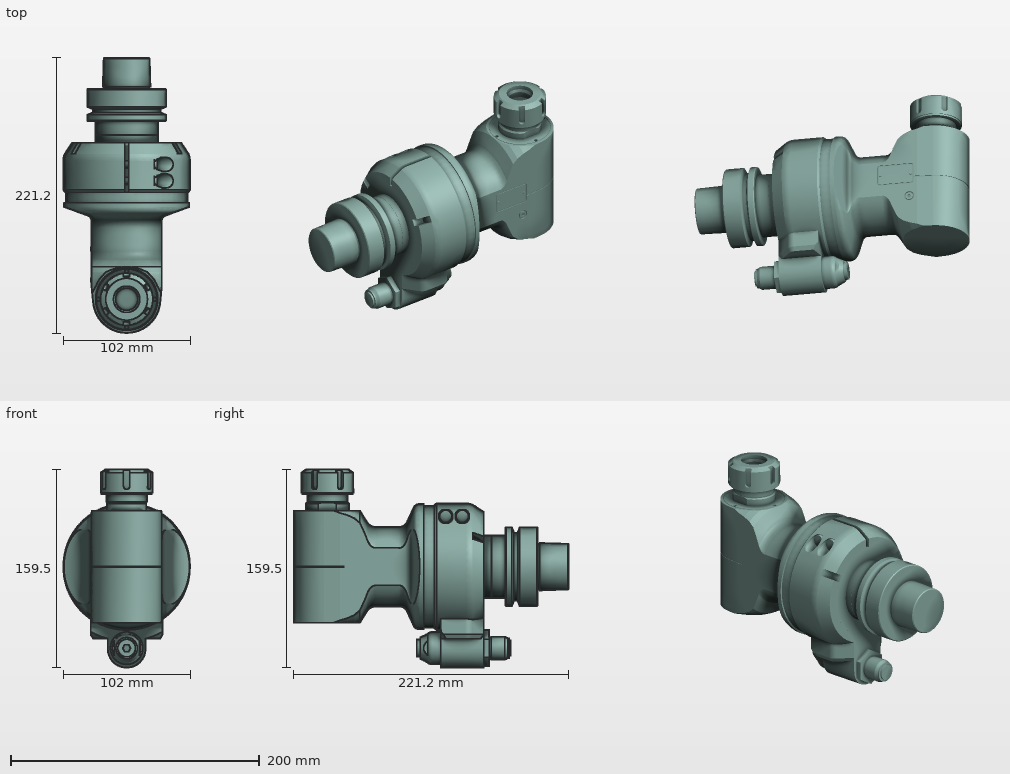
import cadquery as cq
import math


RING_BACK = 125.8
RING_FRONT = 86.0
SPIGOT_R = 36.5
BLOCK_HALF_HEIGHT = 45.0

SHANK_END = 194.0
TAPER_END_R = 18.5
TAPER_BASE_R = 19.2
TAPER_CHAMFER = 0.7
RELIEF_BACK = 170.7
RELIEF_R = 18.4
FLANGE_BACK = 169.0
FLANGE_FRONT = 143.0
FLANGE_R = 31.8
FLANGE_CHAMFER = 0.7
GRIP_GROOVE_BACK = 154.5
GRIP_GROOVE_FRONT = 148.1
GRIP_GROOVE_R = 27.5
GRIP_GROOVE_SLOPE = 1.8
NECK_R = 25.2
NECK_GROOVE_Y = 131.5
NECK_GROOVE_WIDTH = 0.5
NECK_GROOVE_DEPTH = 0.2

SHOULDER_R = 49.0
RIM_BACK = 77.5
RIM_FRONT = 74.0
RIM_R = 50.5
RIM_ROUND_END = (47.3, 69.2)
REAR_CONE_END = (35.8, 64.0)
WAIST_BACK = 57.3
WAIST_FRONT = 38.5
WAIST_R = 32.0
FRONT_CONE_START = (35.2, 32.3)
FRONT_CONE_END_Y = 26.0
CROWN_POINTS = ((48.0, 21.9), (50.2, 16.0), (51.5, 10.2), (53.3, 3.8))
SIDE_X = 28.3
SIDE_TAPER_Y = 10.2
NOSE_R = 27.2
RELIEF_SLANT_FOOT_Y = 66.0
RELIEF_SLANT_ANGLE = 20
RELIEF_FILLET = 4.2
CLEARANCE = 55.3

SPLIT_GROOVE = 0.9
SPLIT_GROOVE_DEPTH = 0.5
PLATE_LENGTH = 29.6
PLATE_HEIGHT = 18.0
PLATE_CENTER = (27.9, 3.3)
PLATE_CORNER_R = 2.2
PLATE_GROOVE = 0.9
PLATE_GROOVE_DEPTH = 0.5
PLATE_SCREW_SPACING = 25.0
PLATE_SCREW_D = 2.7
PLATE_SCREW_HEIGHT = 0.7
PLUG_CENTER = (16.5, -17.2)
PLUG_HOLE_D = 8.0
PLUG_D = 6.0
PLUG_DEPTH = 0.9
PLUG_SOCKET_D = 3.0

COVER_R = 25.0
COVER_GROOVE = 0.7
COVER_GROOVE_DEPTH = 0.5
COVER_HOLE_D = 3.0
COVER_HOLE_RADIUS = 22.5
COVER_HOLE_DEPTH = 2.2

RING_D = 102.0
RING_R = RING_D / 2
RING_BACK_R = 43.8
RING_CONE_END = (49.7, 116.7)
RING_ROUND_MIDDLE = (50.6, 114.0)
RING_ROUND_END_Y = 111.0
RING_CHAMFER_Y = 87.8
RING_FRONT_R = 49.5
SLIT = 3.3
SCREW_YS = (108.3, 95)
SCREW_Z = 40.5
SCREW_POCKET_D = 11.5
SCREW_POCKET_X = 22.3
SCREW_HEAD_D = 10.0
SCREW_HEAD_HEIGHT = 2.2
SCREW_D = 6.0
NOTCH_WIDTH = 5.7
NOTCH_ANGLES = (30, 150)

ARM_FRONT = 91.0
ARM_HALF_WIDTH = 29.0
ARM_REAR_CORNER_Y = 114.0
ARM_ROUND_R = 7.0
ARM_BOTTOM = -57.7
ARM_TOP = -31
ARM_CHAMFER_HEIGHT = 3.3
ARM_CHAMFER_WIDTH = 2.0
ARM_FRONT_BEVEL_R = 59.7
ARM_BEVEL = 4.5
BOSS_R = 15.3
BOSS_Z = -65.9
PIN_Z = -65.5

PIN_BACK_OUTLINE = (
    (8.8, RING_BACK), (8.8, 131.5), (9.3, 131.5), (9.3, 142.5),
    (8.0, 145.0), (8.0, 146.1), (6.2, 146.1), (6.2, 147.5),
)
PIN_NUT_CORNER_R = 14.5
PIN_NUT_THICKNESS = 4.2
PIN_NUT_TURN = 30
PIN_R = 13.0
PIN_SHOULDER_Y = 84
PIN_ROUND_END = (11.5, 80.5)
PIN_CONE_END = (8.6, 74.5)
PIN_TIP_R = 7.0
PIN_TIP_Y = 71.6
PIN_FLAT_X = 10.0
PIN_SOCKET_D = 6.5
PIN_SOCKET_DEPTH = 2.2

COLLAR_R = 17.5
COLLAR_TOP = 51.5
COLLAR_CHAMFER = 0.9
COLLAR_FLAT_X = 16.0
STEM_R = 16.4
STEM_GROOVE = 0.7
STEM_GROOVE_DEPTH = 0.7
NUT_BOTTOM = 58.1
NUT_TOP = 78.3
NUT_R = 21.0
NUT_LIP_R = 20.3
NUT_LIP_HEIGHT = 1.3
NUT_TOP_R = 16.8
NUT_CHAMFER_HEIGHT = 2.7
NUT_SLOT_COUNT = 6
NUT_SLOT_WIDTH = 5.0
NUT_SLOT_FLOOR_R = 18.0
NUT_SLOT_BOTTOM = 62.1
BORE_MOUTH_R = 10.6
BORE_D = 18.0
BORE_R = BORE_D / 2
BORE_MOUTH_DEPTH = 3.3
BORE_CONE_DEPTH = 5.0
BORE_DEPTH = 10.0


def turned_about_y(outline):
    """Revolve a closed (x, y) outline about the Y axis."""
    return outline.close().revolve(360, (0, 0, 0), (0, 1, 0))


def disc_y(radius, y_start, y_end, z=0):
    """Cylinder along Y between two stations."""
    return cq.Workplane("XZ", origin=(0, y_start, z)).circle(radius).extrude(y_start - y_end)


def disc_x(diameter, x_start, x_end, y, z):
    """Cylinder along X between two stations."""
    return cq.Workplane("YZ", origin=(x_start, y, z)).circle(diameter / 2).extrude(x_end - x_start)


def tube_z(outer_r, inner_r, z_bottom, height):
    """Upright tube centred on the Z axis."""
    return cq.Workplane("XY", origin=(0, 0, z_bottom)).circle(outer_r).circle(inner_r).extrude(height)


def block(x_range, y_range, z_range):
    """Axis-aligned box between pairs of limits."""
    sizes = [high - low for low, high in (x_range, y_range, z_range)]
    corner = (x_range[0], y_range[0], z_range[0])
    return cq.Workplane("XY").box(*sizes, centered=False).translate(corner)


def make_shank():
    outline = (
        cq.Workplane("XY")
        .moveTo(0, SHANK_END)
        .lineTo(TAPER_END_R - TAPER_CHAMFER, SHANK_END)
        .lineTo(TAPER_END_R, SHANK_END - TAPER_CHAMFER)
        .lineTo(TAPER_BASE_R, RELIEF_BACK)
        .lineTo(RELIEF_R, RELIEF_BACK)
        .lineTo(RELIEF_R, FLANGE_BACK)
        .lineTo(FLANGE_R - FLANGE_CHAMFER, FLANGE_BACK)
        .lineTo(FLANGE_R, FLANGE_BACK - FLANGE_CHAMFER)
        .lineTo(FLANGE_R, GRIP_GROOVE_BACK)
        .lineTo(GRIP_GROOVE_R, GRIP_GROOVE_BACK - GRIP_GROOVE_SLOPE)
        .lineTo(GRIP_GROOVE_R, GRIP_GROOVE_FRONT + GRIP_GROOVE_SLOPE)
        .lineTo(FLANGE_R, GRIP_GROOVE_FRONT)
        .lineTo(FLANGE_R, FLANGE_FRONT + FLANGE_CHAMFER)
        .lineTo(FLANGE_R - FLANGE_CHAMFER, FLANGE_FRONT)
        .lineTo(NECK_R, FLANGE_FRONT)
        .lineTo(NECK_R, RING_BACK)
        .lineTo(0, RING_BACK)
    )
    groove = disc_y(NECK_R, NECK_GROOVE_Y, NECK_GROOVE_Y + NECK_GROOVE_WIDTH).cut(
        disc_y(NECK_R - NECK_GROOVE_DEPTH, NECK_GROOVE_Y, NECK_GROOVE_Y + NECK_GROOVE_WIDTH)
    )
    return turned_about_y(outline).cut(groove)


def housing_turning():
    """Turned form of the housing, before the flats are cut."""
    outline = (
        cq.Workplane("XY")
        .moveTo(0, RING_BACK)
        .lineTo(SPIGOT_R, RING_BACK)
        .lineTo(SPIGOT_R, RING_FRONT)
        .lineTo(SHOULDER_R, RING_FRONT)
        .lineTo(SHOULDER_R, RIM_BACK)
        .lineTo(RIM_R, RIM_BACK)
        .lineTo(RIM_R, RIM_FRONT)
        .tangentArcPoint(RIM_ROUND_END, relative=False)
        .lineTo(*REAR_CONE_END)
        .tangentArcPoint((WAIST_R, WAIST_BACK), relative=False)
        .lineTo(WAIST_R, WAIST_FRONT)
        .tangentArcPoint(FRONT_CONE_START, relative=False)
        .lineTo(BLOCK_HALF_HEIGHT, FRONT_CONE_END_Y)
    )
    for point in CROWN_POINTS:
        outline = outline.lineTo(*point)
    outline = outline.lineTo(CROWN_POINTS[-1][0], -NOSE_R).lineTo(0, -NOSE_R)
    return turned_about_y(outline)


def housing_plan():
    """Plan outline of the housing: round nose, flat sides and slanted reliefs."""
    reach = math.hypot(SIDE_X, SIDE_TAPER_Y)
    tangent_angle = math.atan2(SIDE_TAPER_Y, SIDE_X) - math.acos(NOSE_R / reach)
    nose_x = NOSE_R * math.cos(tangent_angle)
    nose_y = NOSE_R * math.sin(tangent_angle)
    slant_rise = (CLEARANCE - SIDE_X) * math.tan(math.radians(RELIEF_SLANT_ANGLE))
    slant_top = RELIEF_SLANT_FOOT_Y + slant_rise
    return (
        cq.Workplane("XY", origin=(0, 0, -CLEARANCE))
        .moveTo(-nose_x, nose_y)
        .threePointArc((0, -NOSE_R), (nose_x, nose_y))
        .lineTo(SIDE_X, SIDE_TAPER_Y)
        .lineTo(SIDE_X, RELIEF_SLANT_FOOT_Y)
        .lineTo(CLEARANCE, slant_top)
        .lineTo(CLEARANCE, RING_BACK)
        .lineTo(-CLEARANCE, RING_BACK)
        .lineTo(-CLEARANCE, slant_top)
        .lineTo(-SIDE_X, RELIEF_SLANT_FOOT_Y)
        .lineTo(-SIDE_X, SIDE_TAPER_Y)
        .close()
    )


def housing_envelope():
    """Upright prism over the plan outline, with the foot of each slanted relief rounded."""
    prism = housing_plan().extrude(2 * CLEARANCE)
    for x in (-SIDE_X, SIDE_X):
        corner = cq.selectors.NearestToPointSelector((x, RELIEF_SLANT_FOOT_Y, 0))
        prism = prism.edges("|Z").edges(corner).fillet(RELIEF_FILLET)
    return prism


def add_name_plate(body):
    """Name plate outlined by a groove on the -X side, with two raised screw heads."""
    plate_y, plate_z = PLATE_CENTER

    def plate_slab(margin):
        return (
            cq.Workplane("XY")
            .box(2 * PLATE_GROOVE_DEPTH, PLATE_LENGTH - 2 * margin, PLATE_HEIGHT - 2 * margin)
            .edges("|X")
            .fillet(PLATE_CORNER_R - margin)
            .translate((-SIDE_X, plate_y, plate_z))
        )

    body = body.cut(plate_slab(0).cut(plate_slab(PLATE_GROOVE)))
    for side in (-1, 1):
        screw_y = plate_y + side * PLATE_SCREW_SPACING / 2
        head_x = -SIDE_X - PLATE_SCREW_HEIGHT
        body = body.union(disc_x(PLATE_SCREW_D, head_x, 2.2 - SIDE_X, screw_y, plate_z))
    return body


def cut_plug(body):
    """Recessed socket plug on the -X side."""
    floor_x = PLUG_DEPTH - SIDE_X
    recess = disc_x(PLUG_HOLE_D, -SIDE_X, floor_x, *PLUG_CENTER)
    plug = disc_x(PLUG_D, -SIDE_X, floor_x, *PLUG_CENTER)
    socket = disc_x(PLUG_SOCKET_D, -SIDE_X, floor_x, *PLUG_CENTER)
    return body.cut(recess.cut(plug)).cut(socket)


def cut_split_groove(body):
    """Shallow groove at mid-height around the nose."""
    groove_end = PLATE_CENTER[0] - PLATE_LENGTH / 2
    half = SPLIT_GROOVE / 2
    front_zone = block((-CLEARANCE, CLEARANCE), (-CLEARANCE, groove_end), (-half, half))
    core = housing_plan().offset2D(-SPLIT_GROOVE_DEPTH).extrude(2 * CLEARANCE)
    return body.cut(front_zone.cut(core))


def cut_cover(body):
    """Bearing cover on the upper face: a round seam and four screw holes."""
    seam = tube_z(
        COVER_R, COVER_R - COVER_GROOVE, BLOCK_HALF_HEIGHT - COVER_GROOVE_DEPTH, COVER_GROOVE_DEPTH
    )
    holes = (
        cq.Workplane("XY", origin=(0, 0, BLOCK_HALF_HEIGHT))
        .polarArray(COVER_HOLE_RADIUS, 0, 360, 4)
        .circle(COVER_HOLE_D / 2)
        .extrude(-COVER_HOLE_DEPTH)
    )
    return body.cut(seam).cut(holes)


def make_housing():
    body = housing_turning().intersect(housing_envelope())
    span = (-CLEARANCE, CLEARANCE)
    block_length = (-CLEARANCE, WAIST_FRONT)
    body = body.cut(block(span, block_length, (BLOCK_HALF_HEIGHT, CLEARANCE)))
    body = body.cut(block(span, block_length, (-CLEARANCE, -BLOCK_HALF_HEIGHT)))
    body = cut_split_groove(body)
    body = add_name_plate(body)
    body = cut_plug(body)
    return cut_cover(body)


def ring_turning():
    outline = (
        cq.Workplane("XY")
        .moveTo(0, RING_BACK)
        .lineTo(RING_BACK_R, RING_BACK)
        .lineTo(*RING_CONE_END)
        .threePointArc(RING_ROUND_MIDDLE, (RING_R, RING_ROUND_END_Y))
        .lineTo(RING_R, RING_CHAMFER_Y)
        .lineTo(RING_FRONT_R, RING_FRONT)
        .lineTo(0, RING_FRONT)
    )
    return turned_about_y(outline)


def ring_arm():
    """Block under the ring and the rounded boss that holds the stop pin."""
    arm = (
        cq.Workplane("XY", origin=(0, 0, ARM_BOTTOM))
        .moveTo(-ARM_HALF_WIDTH, ARM_FRONT)
        .lineTo(ARM_HALF_WIDTH, ARM_FRONT)
        .lineTo(ARM_HALF_WIDTH, ARM_REAR_CORNER_Y)
        .lineTo(BOSS_R, RING_BACK)
        .lineTo(-BOSS_R, RING_BACK)
        .lineTo(-ARM_HALF_WIDTH, ARM_REAR_CORNER_Y)
        .close()
        .extrude(ARM_TOP - ARM_BOTTOM)
    )
    for x in (-ARM_HALF_WIDTH, ARM_HALF_WIDTH):
        corner = cq.selectors.NearestToPointSelector((x, ARM_REAR_CORNER_Y, (ARM_BOTTOM + ARM_TOP) / 2))
        arm = arm.edges("|Z").edges(corner).fillet(ARM_ROUND_R)
    bottom_sides = cq.selectors.BoxSelector(
        (-CLEARANCE, ARM_FRONT - 2.2, ARM_BOTTOM - 2.2),
        (CLEARANCE, ARM_REAR_CORNER_Y, ARM_BOTTOM + 2.2),
    )
    arm = arm.edges("|Y").edges(bottom_sides).chamfer(ARM_CHAMFER_WIDTH, ARM_CHAMFER_HEIGHT)
    bevel_back_r = ARM_FRONT_BEVEL_R + ARM_BEVEL
    bevel_limit = turned_about_y(
        cq.Workplane("XY")
        .moveTo(0, ARM_FRONT)
        .lineTo(ARM_FRONT_BEVEL_R, ARM_FRONT)
        .lineTo(bevel_back_r, ARM_FRONT + ARM_BEVEL)
        .lineTo(bevel_back_r, RING_BACK)
        .lineTo(0, RING_BACK)
    )
    arm = arm.intersect(bevel_limit)
    boss = disc_y(BOSS_R, ARM_FRONT, RING_BACK, BOSS_Z)
    web = block((-BOSS_R, BOSS_R), (ARM_FRONT, RING_BACK), (BOSS_Z, ARM_TOP))
    return arm.union(web).union(boss)


def cone_notches():
    """Radial slots through the conical rear wall of the ring."""
    half = NOTCH_WIDTH / 2
    bar = block((0, CLEARANCE), (RING_CONE_END[1], RING_BACK), (-half, half))
    return [bar.rotate((0, 0, 0), (0, 1, 0), -angle) for angle in NOTCH_ANGLES]


def clamp_slit(ring):
    """Slit at the top of the ring, drawn together by two screws from the +X side."""
    half = SLIT / 2
    ring = ring.cut(block((-half, half), (RING_FRONT, RING_BACK), (0, CLEARANCE)))
    for y in SCREW_YS:
        head_end = SCREW_POCKET_X + SCREW_HEAD_HEIGHT
        ring = ring.cut(disc_x(SCREW_POCKET_D, SCREW_POCKET_X, CLEARANCE, y, SCREW_Z))
        ring = ring.union(disc_x(SCREW_HEAD_D, SCREW_POCKET_X, head_end, y, SCREW_Z))
        ring = ring.union(disc_x(SCREW_D, -SLIT, SLIT, y, SCREW_Z))
    return ring


def stop_pin():
    """Spring-loaded stop pin, with its lock nut, on both sides of the boss."""
    back = cq.Workplane("XY").moveTo(0, RING_BACK)
    for point in PIN_BACK_OUTLINE:
        back = back.lineTo(*point)
    back = turned_about_y(back.lineTo(0, PIN_BACK_OUTLINE[-1][1]))

    nut = (
        cq.Workplane("XZ", origin=(0, RING_BACK, 0))
        .polygon(6, 2 * PIN_NUT_CORNER_R)
        .extrude(-PIN_NUT_THICKNESS)
        .rotate((0, 0, 0), (0, 1, 0), PIN_NUT_TURN)
    )
    front = turned_about_y(
        cq.Workplane("XY")
        .moveTo(0, ARM_FRONT)
        .lineTo(PIN_R, ARM_FRONT)
        .lineTo(PIN_R, PIN_SHOULDER_Y)
        .tangentArcPoint(PIN_ROUND_END, relative=False)
        .lineTo(*PIN_CONE_END)
        .lineTo(PIN_TIP_R, PIN_CONE_END[1])
        .lineTo(PIN_TIP_R, PIN_TIP_Y)
        .lineTo(0, PIN_TIP_Y)
    )
    nose_length = (PIN_TIP_Y, PIN_ROUND_END[1])
    for x_range in ((-PIN_R, -PIN_FLAT_X), (PIN_FLAT_X, PIN_R)):
        front = front.cut(block(x_range, nose_length, (-PIN_R, PIN_R)))
    socket = (
        cq.Workplane("XZ", origin=(0, PIN_TIP_Y, 0)).polygon(6, PIN_SOCKET_D).extrude(-PIN_SOCKET_DEPTH)
    )
    return [part.translate((0, 0, PIN_Z)) for part in (back, nut, front.cut(socket))]


def make_stop_ring():
    ring = ring_turning().union(ring_arm())
    ring = ring.cut(disc_y(SPIGOT_R, RING_FRONT, RING_BACK))
    for notch in cone_notches():
        ring = ring.cut(notch)
    ring = clamp_slit(ring)
    for part in stop_pin():
        ring = ring.union(part)
    return ring


def nut_slot():
    """Radial spanner slot with a rounded lower end, on the +Y side of the nut."""
    half = NUT_SLOT_WIDTH / 2
    round_z = NUT_SLOT_BOTTOM + half
    slot = block((-half, half), (NUT_SLOT_FLOOR_R, NUT_R), (round_z, NUT_TOP))
    return slot.union(disc_y(half, NUT_SLOT_FLOOR_R, NUT_R, round_z))


def make_output_spindle():
    outline = (
        cq.Workplane("XZ")
        .moveTo(0, BLOCK_HALF_HEIGHT)
        .lineTo(COLLAR_R, BLOCK_HALF_HEIGHT)
        .lineTo(COLLAR_R, COLLAR_TOP - COLLAR_CHAMFER)
        .lineTo(COLLAR_R - COLLAR_CHAMFER, COLLAR_TOP)
        .lineTo(STEM_R - STEM_GROOVE_DEPTH, COLLAR_TOP)
        .lineTo(STEM_R - STEM_GROOVE_DEPTH, COLLAR_TOP + STEM_GROOVE)
        .lineTo(STEM_R, COLLAR_TOP + STEM_GROOVE)
        .lineTo(STEM_R, NUT_BOTTOM)
        .lineTo(NUT_LIP_R, NUT_BOTTOM)
        .lineTo(NUT_LIP_R, NUT_BOTTOM + NUT_LIP_HEIGHT)
        .lineTo(NUT_R, NUT_BOTTOM + NUT_LIP_HEIGHT)
        .lineTo(NUT_R, NUT_TOP - NUT_CHAMFER_HEIGHT)
        .lineTo(NUT_TOP_R, NUT_TOP)
        .lineTo(BORE_MOUTH_R, NUT_TOP)
        .lineTo(BORE_MOUTH_R, NUT_TOP - BORE_MOUTH_DEPTH)
        .lineTo(BORE_R, NUT_TOP - BORE_CONE_DEPTH)
        .lineTo(BORE_R, NUT_TOP - BORE_DEPTH)
        .lineTo(0, NUT_TOP - BORE_DEPTH)
        .close()
    )
    spindle = outline.revolve(360, (0, 0, 0), (0, 1, 0))
    collar_height = (BLOCK_HALF_HEIGHT, COLLAR_TOP)
    for x_range in ((-COLLAR_R, -COLLAR_FLAT_X), (COLLAR_FLAT_X, COLLAR_R)):
        spindle = spindle.cut(block(x_range, (-COLLAR_R, COLLAR_R), collar_height))
    for i in range(NUT_SLOT_COUNT):
        spindle = spindle.cut(nut_slot().rotate((0, 0, 0), (0, 0, 1), i * 360 / NUT_SLOT_COUNT))
    return spindle


shank = make_shank()
housing = make_housing()
stop_ring = make_stop_ring()
output_spindle = make_output_spindle()

result = cq.Compound.makeCompound(
    [shank.val(), housing.val(), stop_ring.val(), output_spindle.val()]
)